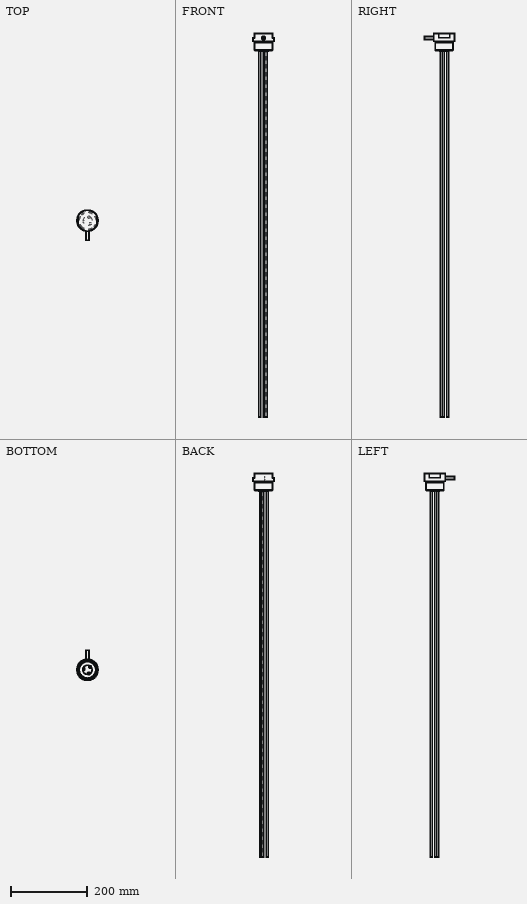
import cadquery as cq
import math

total_height = 1008.0
total_depth = 80.0

cap_diameter = 55.0
cap_height = 21.0
flat_spacing = 47.0
flat_height = 12.0

outlet_diameter = 9.0
outlet_bore_diameter = 6.4
outlet_drop = 12.0

base_diameter = flat_spacing
base_height = 24.0
base_chamfer = 2.0
lip_height = 1.0
groove_height = 3.0
groove_diameter = 45.0

boss_diameter = 24.0
boss_height = 2.0
rod_diameter = 6.0
rod_circle_diameter = 20.0
rod_count = 3
first_rod_angle = -47.0

cap_radius = cap_diameter / 2
cap_bottom_z = total_height - cap_height
outlet_z = total_height - outlet_drop
outlet_reach = total_depth - cap_radius
groove_top_z = cap_bottom_z - lip_height
base_bottom_z = cap_bottom_z - base_height
boss_bottom_z = base_bottom_z - boss_height


def upright_cylinder(diameter, bottom_z, height):
    """Vertical cylinder centred on the Z axis."""
    return cq.Workplane("XY", origin=(0, 0, bottom_z)).circle(diameter / 2).extrude(height)


def outlet_cylinder(diameter, start, end):
    """Cylinder on the outlet axis, between two distances from the Z axis toward -Y."""
    return cq.Workplane("XZ", origin=(0, -start, outlet_z)).circle(diameter / 2).extrude(end - start)


def make_flat_cut(side):
    """Block that removes the upper edge of the cap beyond one flat, on the +X or -X side."""
    cut_depth = (cap_diameter - flat_spacing) / 2
    center_x = side * (flat_spacing + cut_depth) / 2
    center_z = total_height - flat_height / 2
    return cq.Workplane("XY", origin=(center_x, 0, center_z)).box(cut_depth, cap_diameter, flat_height)


def make_cap():
    """Round cap with two flats and a bored side outlet."""
    cap = upright_cylinder(cap_diameter, cap_bottom_z, cap_height)
    for side in (-1, 1):
        cap = cap.cut(make_flat_cut(side))
    cap = cap.union(outlet_cylinder(outlet_diameter, 0, outlet_reach))
    return cap.cut(outlet_cylinder(outlet_bore_diameter, cap_radius, outlet_reach))


def make_base():
    """Cylinder under the cap, with a shallow groove near its top and a chamfered lower rim."""
    base_radius = base_diameter / 2
    groove_radius = groove_diameter / 2
    groove_bottom_z = groove_top_z - groove_height
    return (
        cq.Workplane("XZ")
        .moveTo(0, cap_bottom_z)
        .lineTo(base_radius, cap_bottom_z)
        .lineTo(base_radius, groove_top_z)
        .lineTo(groove_radius, groove_top_z)
        .lineTo(groove_radius, groove_bottom_z)
        .lineTo(base_radius, groove_bottom_z)
        .lineTo(base_radius, base_bottom_z + base_chamfer)
        .lineTo(base_radius - base_chamfer, base_bottom_z)
        .lineTo(0, base_bottom_z)
        .close()
        .revolve(360, (0, 0, 0), (0, 1, 0))
    )


def make_rod(index):
    """One of the long rods, evenly spaced around the Z axis, from the base down to Z = 0."""
    angle = math.radians(first_rod_angle + index * 360 / rod_count)
    x = rod_circle_diameter / 2 * math.cos(angle)
    y = rod_circle_diameter / 2 * math.sin(angle)
    return upright_cylinder(rod_diameter, 0, base_bottom_z).translate((x, y, 0))


def make_probe():
    """Base, boss and rods as one body."""
    probe = make_base().union(upright_cylinder(boss_diameter, boss_bottom_z, boss_height))
    for index in range(rod_count):
        probe = probe.union(make_rod(index))
    return probe


cap = make_cap()
probe = make_probe()
result = cq.Compound.makeCompound([cap.val(), probe.val()])